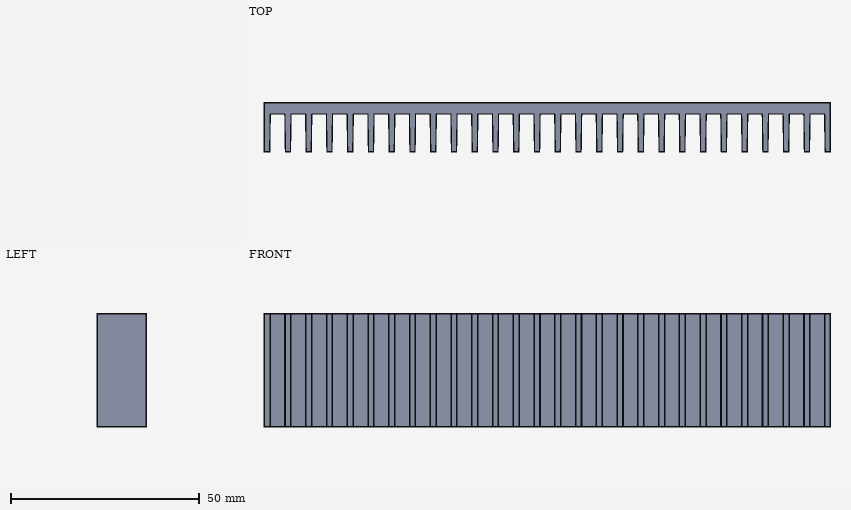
import cadquery as cq

LENGTH = 150.0
DEPTH = 13.0
HEIGHT = 30.0

BASE_THICKNESS = 3.0
FIN_COUNT = 28
FIN_PITCH = 5.5
FIRST_FIN_TIP_WIDTH = 1.5
FIN_TIP_WIDTH = 1.4
FIN_SIDE_TAPER = 0.15

GAP_COUNT = FIN_COUNT - 1
GAP_MOUTH_WIDTH = FIN_PITCH - FIN_TIP_WIDTH

X_LEFT = -LENGTH / 2
X_RIGHT = LENGTH / 2
Y_TIP = -DEPTH / 2
Y_BACK = DEPTH / 2
Y_ROOT = Y_BACK - BASE_THICKNESS
Z_BOTTOM = -HEIGHT / 2


def gap_outline(mouth_left):
    """Corner points, left to right, of the gap whose mouth starts at X = mouth_left."""
    mouth_right = mouth_left + GAP_MOUTH_WIDTH
    return [
        (mouth_left, Y_TIP),
        (mouth_left + FIN_SIDE_TAPER, Y_ROOT),
        (mouth_right - FIN_SIDE_TAPER, Y_ROOT),
        (mouth_right, Y_TIP),
    ]


def make_heat_sink():
    """Extruded comb profile: tapered fins, with flat outer faces on the end fins."""
    outline = [(X_RIGHT, Y_TIP), (X_RIGHT, Y_BACK), (X_LEFT, Y_BACK), (X_LEFT, Y_TIP)]
    first_mouth_left = X_LEFT + FIRST_FIN_TIP_WIDTH
    for gap in range(GAP_COUNT):
        outline += gap_outline(first_mouth_left + gap * FIN_PITCH)
    return cq.Workplane("XY", origin=(0, 0, Z_BOTTOM)).polyline(outline).close().extrude(HEIGHT)


result = make_heat_sink()